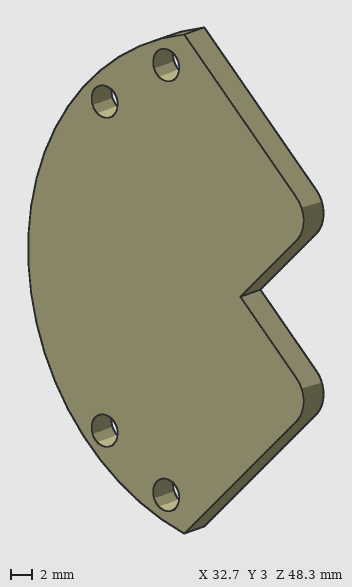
import cadquery as cq
import math

height = 48.3
thickness = 3.0
arc_half_angle = 75.0
notch_x = 0.2
tip_radius = 3.0
hole_diameter = 3.1
hole_circle_radius = 22.5
hole_angles = (45.0, 67.5)

half_height = height / 2
arc_radius = half_height / math.sin(math.radians(arc_half_angle))
corner_x = -arc_radius * math.cos(math.radians(arc_half_angle))

tip_z = (corner_x + half_height - notch_x) / 2
tip_x = notch_x + tip_z


def make_plate():
    """Plate with a round left edge and a V notch between two rounded tips."""
    plate = (
        cq.Workplane("XZ")
        .moveTo(corner_x, -half_height)
        .threePointArc((-arc_radius, 0), (corner_x, half_height))
        .lineTo(tip_x, tip_z)
        .lineTo(notch_x, 0)
        .lineTo(tip_x, -tip_z)
        .close()
        .extrude(thickness / 2, both=True)
    )
    return plate.edges("|Y").edges(">X").fillet(tip_radius)


def hole_centers():
    """Hole positions on a circle around the origin, mirrored about Z = 0."""
    centers = []
    for angle in hole_angles:
        x = -hole_circle_radius * math.cos(math.radians(angle))
        z = hole_circle_radius * math.sin(math.radians(angle))
        centers += [(x, z), (x, -z)]
    return centers


holes = (
    cq.Workplane("XZ")
    .pushPoints(hole_centers())
    .circle(hole_diameter / 2)
    .extrude(thickness, both=True)
)

result = make_plate().cut(holes)